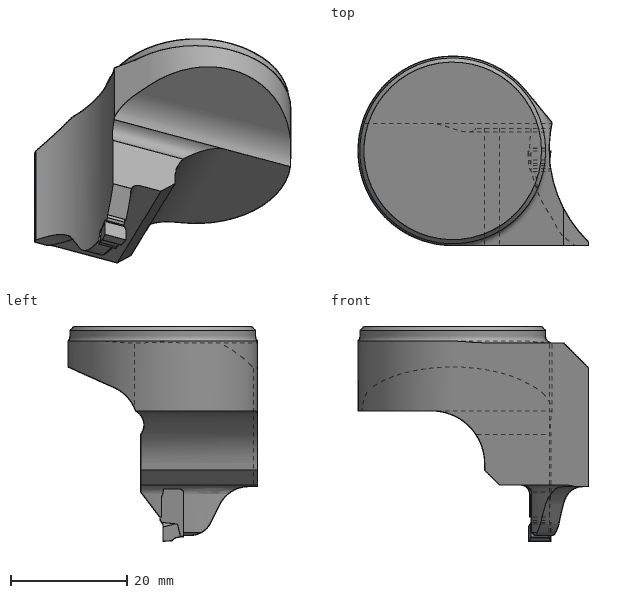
import cadquery as cq
import math


head_radius = 16.0
head_chamfer = 0.7
head_bottom = -1.75
head_fillet = 1.07
body_radius = 16.3
body_bottom = -14.55

block_top = head_bottom - head_fillet
block_right = 23.37
block_front = -body_radius
block_back = 3.8
block_corner_chamfer = 4.33
block_left = 5.48
block_left_corner_z = -24.72
block_bottom = -27.58
underside_radius = 9.0
underside_arc_end_z = body_bottom - underside_radius

hollow_radius = 22.0
hollow_left = 16.63
hollow_center_x = hollow_left + hollow_radius
blade_center_y = 0.2
back_corner_y = 4.85

slope_start_z = -7.0
slope_end = (8.3, -10.6)
slope_arc_end = (4.7, body_bottom)
groove_deepest = (3.25, -17.05)
groove_end_z = -18.57

blade_left = 13.2
blade_outer_radius = 19.6
blade_root_fillet = 1.6
blade_bottom = -36.0
blade_edge_chamfer = 0.5
ledge_z = -27.3
blade_front_foot_y = -11.35
blade_front_lean = 26.5
blade_front_root_radius = 5.5
blade_front_tip_radius = 4.0
blade_back_slope_z = -28.5
blade_back_tip = (0.5, -32.8)
blade_back_nose = (0.45, -33.4)
insert_clearance_z = -34.0

pad_left = 13.45
pad_right = 16.55
pad_front = -3.55
pad_top = -27.97
pad_bottom = -36.23
pad_outline = [
    (pad_front, pad_bottom),
    (pad_front, -28.37),
    (-3.1, pad_top),
    (-0.1, pad_top),
    (-0.05, -28.73),
    (0.25, -29.35),
    (0.25, blade_back_tip[1]),
    blade_back_tip,
    (blade_back_tip[0], pad_bottom),
]

insert_left = 13.0
insert_right = 16.9
insert_tip_z = -37.0
insert_heel_y = -3.05
insert_top_front_z = -33.73
insert_bevel_height = 0.8
insert_outline = [
    (0, insert_top_front_z),
    (-2.55, -34.0),
    (insert_heel_y, pad_bottom),
    (-2.15, -36.4),
    (-1.6, -36.9),
    (0, insert_tip_z),
]

reach = 59.52


def hollow_x(y):
    """X of the hollow's wall at the given Y."""
    return hollow_center_x - math.sqrt(hollow_radius**2 - (y - blade_center_y) ** 2)


def rounded_corner(before, corner, after, radius):
    """Start, middle and end of the arc that rounds a corner of an outline."""
    back = (cq.Vector(*before) - cq.Vector(*corner)).normalized()
    ahead = (cq.Vector(*after) - cq.Vector(*corner)).normalized()
    half_angle = back.getAngle(ahead) / 2
    setback = radius / math.tan(half_angle)
    bisector = (back + ahead).normalized()
    middle = cq.Vector(*corner) + bisector * (radius / math.sin(half_angle) - radius)
    start = cq.Vector(*corner) + back * setback
    end = cq.Vector(*corner) + ahead * setback
    return [(point.x, point.y) for point in (start, middle, end)]


def plan_prism():
    """Outline seen along Z: the coupling circle running into the block."""
    back_corner = (hollow_x(back_corner_y), back_corner_y)
    corner_angle = math.atan2(back_corner[1], back_corner[0])
    tangent_angle = corner_angle + math.acos(body_radius / math.hypot(*back_corner))
    tangent_point = (body_radius * math.cos(tangent_angle), body_radius * math.sin(tangent_angle))
    front_corner_x_offset = hollow_center_x - block_right
    front_corner_y = blade_center_y - math.sqrt(hollow_radius**2 - front_corner_x_offset**2)
    return (
        cq.Workplane("XY")
        .moveTo(0, block_front)
        .threePointArc((-body_radius, 0), tangent_point)
        .lineTo(*back_corner)
        .threePointArc((hollow_left, blade_center_y), (block_right, front_corner_y))
        .lineTo(block_right, block_front)
        .close()
        .extrude(-reach)
    )


def front_prism():
    """Outline seen along Y: the raised underside on the left and the chamfered block."""
    arc_center_x = block_left - underside_radius
    diagonal = underside_radius * math.sqrt(0.5)
    left_corner_chamfer = block_left_corner_z - ledge_z
    ledge_left = block_left + left_corner_chamfer
    return (
        cq.Workplane("XZ")
        .moveTo(-body_radius, block_top)
        .lineTo(block_right - block_corner_chamfer, block_top)
        .lineTo(block_right, block_top - block_corner_chamfer)
        .lineTo(block_right, blade_bottom)
        .lineTo(ledge_left, blade_bottom)
        .lineTo(ledge_left, ledge_z)
        .lineTo(block_left, block_left_corner_z)
        .lineTo(block_left, underside_arc_end_z)
        .threePointArc((arc_center_x + diagonal, underside_arc_end_z + diagonal), (arc_center_x, body_bottom))
        .lineTo(-body_radius, body_bottom)
        .close()
        .extrude(reach, both=True)
    )


def side_prism():
    """Outline seen along X: the sloping back of the coupling, the block and the blade."""
    foot = (blade_front_foot_y, block_bottom)
    lean = math.tan(math.radians(blade_front_lean))
    toe = (blade_front_foot_y + (block_bottom - blade_bottom) * lean, blade_bottom)
    tip_arc = rounded_corner((0, blade_bottom), toe, foot, blade_front_tip_radius)
    root_arc = rounded_corner(toe, foot, (block_front, block_bottom), blade_front_root_radius)
    return (
        cq.Workplane("YZ")
        .moveTo(block_front, 0)
        .lineTo(body_radius, 0)
        .lineTo(body_radius, slope_start_z)
        .lineTo(*slope_end)
        .tangentArcPoint(slope_arc_end, relative=False)
        .threePointArc(groove_deepest, (block_back, groove_end_z))
        .lineTo(block_back, blade_back_slope_z)
        .lineTo(*blade_back_tip)
        .lineTo(*blade_back_nose)
        .lineTo(0, insert_clearance_z)
        .lineTo(0, blade_bottom)
        .lineTo(*tip_arc[0])
        .threePointArc(*tip_arc[1:])
        .lineTo(*root_arc[0])
        .threePointArc(*root_arc[1:])
        .lineTo(block_front, block_bottom)
        .close()
        .extrude(reach, both=True)
    )


def coupling_head():
    """Chamfered round head that flares out to the block in a concave fillet."""
    flare_radius = head_radius + head_fillet
    flare_inset = head_fillet * (1 - math.sqrt(0.5))
    return (
        cq.Workplane("XZ")
        .lineTo(head_radius - head_chamfer, 0)
        .lineTo(head_radius, -head_chamfer)
        .lineTo(head_radius, head_bottom)
        .threePointArc((head_radius + flare_inset, block_top + flare_inset), (flare_radius, block_top))
        .lineTo(0, block_top)
        .close()
        .revolve(360, (0, 0), (0, 1))
    )


def blade_outer_cutter():
    """Ring that shapes the outer face of the blade, its root fillet and the ledge around it."""
    root_z = ledge_z - blade_root_fillet
    ledge_radius = blade_outer_radius + blade_root_fillet
    fillet_inset = blade_root_fillet * (1 - math.sqrt(0.5))
    return (
        cq.Workplane("XZ")
        .moveTo(blade_outer_radius - blade_edge_chamfer, blade_bottom)
        .lineTo(blade_outer_radius, blade_bottom + blade_edge_chamfer)
        .lineTo(blade_outer_radius, root_z)
        .threePointArc((blade_outer_radius + fillet_inset, ledge_z - fillet_inset), (ledge_radius, ledge_z))
        .lineTo(reach, ledge_z)
        .lineTo(reach, blade_bottom)
        .close()
        .revolve(360, (0, 0), (0, 1))
        .translate((blade_left + blade_outer_radius, blade_center_y, 0))
    )


def box_between(low, high):
    """Box with two opposite corners at the given points."""
    size = [b - a for a, b in zip(low, high)]
    return cq.Workplane("XY").box(*size, centered=False).translate(low)


def prism_along_x(outline, left, right):
    """Outline in Y and Z, extruded along X between two positions."""
    return cq.Workplane("YZ", origin=(left, 0, 0)).polyline(outline).close().extrude(right - left)


def make_holder():
    plan = plan_prism()
    side = side_prism()
    block = plan.intersect(front_prism()).intersect(side)
    head = coupling_head().intersect(plan)
    pad_space = prism_along_x(pad_outline, pad_left - reach, pad_left)
    pad = box_between((pad_left, pad_front, pad_bottom), (pad_right, 0, pad_top))
    insert_seat = prism_along_x(insert_outline, pad_left - reach, pad_left + reach)
    holder_blank = block.cut(blade_outer_cutter()).cut(pad_space).union(head).union(pad)
    return holder_blank.cut(insert_seat).solids()


def make_insert():
    """Insert that narrows from its cutting face to its heel, its upper left edge sloping to the pad."""
    relieved_plan = (
        cq.Workplane("XY")
        .moveTo(insert_left, 0)
        .lineTo(insert_right, 0)
        .lineTo(pad_right, insert_heel_y)
        .lineTo(pad_left, insert_heel_y)
        .close()
        .extrude(-reach)
    )
    bevel = (
        cq.Workplane("XZ")
        .moveTo(insert_left, 0)
        .lineTo(pad_left, 0)
        .lineTo(pad_left, insert_top_front_z)
        .lineTo(insert_left, insert_top_front_z - insert_bevel_height)
        .close()
        .extrude(reach, both=True)
    )
    blank = prism_along_x(insert_outline, insert_left, insert_right)
    return blank.intersect(relieved_plan).cut(bevel).solids()


holder = make_holder()
insert = make_insert()

result = cq.Compound.makeCompound([holder.val(), insert.val()])